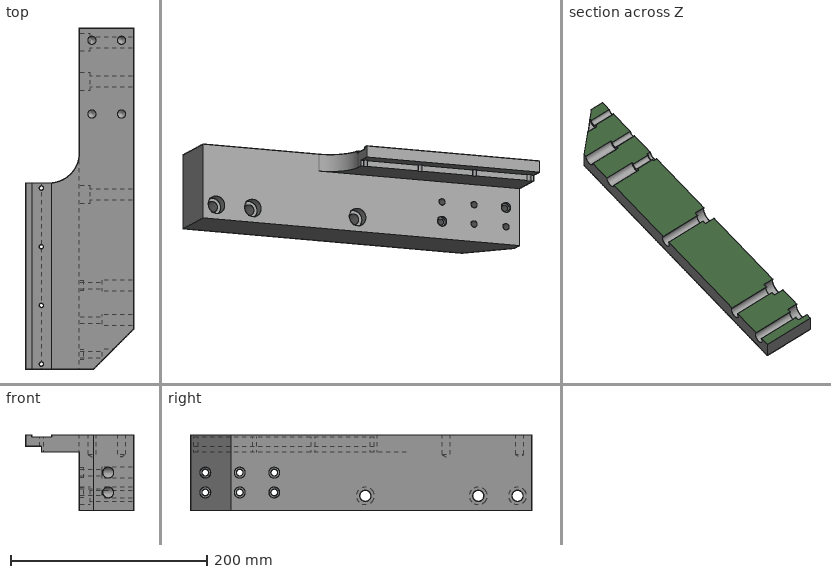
import cadquery as cq
import math

width = 110.0
length = 347.5
height = 77.0

wall_left = 54.5
flange_length = 189.7
flange_thickness = 17.7
lip_thickness = 11.8
lip_width = 16.0
inside_radius = 30.5
corner_chamfer = 41.0

seat_left = 6.3
seat_right = 26.5
seat_depth = 2.0

rail_hole_diameter = 4.0
rail_hole_count = 4
rail_hole_first_y = 5.2
rail_hole_pitch = 59.8

top_hole_diameter = 8.5
top_hole_depth = 20.0
top_hole_xs = (67.5, 97.5)
top_hole_ys = (length - 87.5, length - 12.5)
drill_point_angle = 118.0

bolt_diameter = 11.0
bolt_head_diameter = 18.0
bolt_head_depth = 11.0
bolt_z = 15.0
bolt_ys = (length - 169.5, length - 54.5, length - 14.5)

cross_hole_diameter = 6.5
cross_hole_first_y = 15.0
cross_hole_pitch = 35.0
cross_hole_columns = 3
row_zs = (18.5, 38.5)
dowel_diameter = 10.0
dowel_depth = 4.0

pocket_diameter = 11.0
pocket_floor_x = 78.0


def along_x(diameter, depth, y, z, start_x=wall_left):
    """Cylinder running in +X, by default from the left face of the wall."""
    return cq.Workplane("YZ", origin=(start_x, y, z)).circle(diameter / 2).extrude(depth)


def make_body():
    section = [
        (0, height),
        (0, height - lip_thickness),
        (lip_width, height - lip_thickness),
        (lip_width, height - flange_thickness),
        (wall_left, height - flange_thickness),
        (wall_left, 0),
        (width, 0),
        (width, height),
        (seat_right, height),
        (seat_right, height - seat_depth),
        (seat_left, height - seat_depth),
        (seat_left, height),
    ]
    profile = cq.Workplane("XZ").polyline(section).close().extrude(-length)
    outline = (
        cq.Workplane("XY")
        .lineTo(width - corner_chamfer, 0)
        .lineTo(width, corner_chamfer)
        .lineTo(width, length)
        .lineTo(wall_left, length)
        .lineTo(wall_left, flange_length + inside_radius)
        .radiusArc((wall_left - inside_radius, flange_length), inside_radius)
        .lineTo(0, flange_length)
        .close()
        .extrude(height)
    )
    return profile.intersect(outline)


def cut_rail_holes(body):
    for i in range(rail_hole_count):
        y = rail_hole_first_y + i * rail_hole_pitch
        hole = cq.Workplane("XY").center(lip_width, y).circle(rail_hole_diameter / 2).extrude(height)
        body = body.cut(hole)
    return body


def cut_top_holes(body):
    radius = top_hole_diameter / 2
    tip_depth = top_hole_depth + radius / math.tan(math.radians(drill_point_angle / 2))
    drill = (
        cq.Workplane("XZ")
        .lineTo(radius, 0)
        .lineTo(radius, -top_hole_depth)
        .lineTo(0, -tip_depth)
        .close()
        .revolve(360, (0, 0, 0), (0, 1, 0))
    )
    for x in top_hole_xs:
        for y in top_hole_ys:
            body = body.cut(drill.translate((x, y, height)))
    return body


def cut_bolt_holes(body):
    for y in bolt_ys:
        body = body.cut(along_x(bolt_diameter, width - wall_left, y, bolt_z))
        body = body.cut(along_x(bolt_head_diameter, bolt_head_depth, y, bolt_z))
    return body


def cut_cross_holes(body):
    ys = [cross_hole_first_y + i * cross_hole_pitch for i in range(cross_hole_columns)]
    for y in ys:
        for z in row_zs:
            body = body.cut(along_x(cross_hole_diameter, width - wall_left, y, z))
            body = body.cut(along_x(pocket_diameter, width - pocket_floor_x, y, z, pocket_floor_x))
    for y, z in ((ys[0], row_zs[-1]), (ys[-1], row_zs[0])):
        body = body.cut(along_x(dowel_diameter, dowel_depth, y, z))
    return body


result = make_body()
result = cut_rail_holes(result)
result = cut_top_holes(result)
result = cut_bolt_holes(result)
result = cut_cross_holes(result)